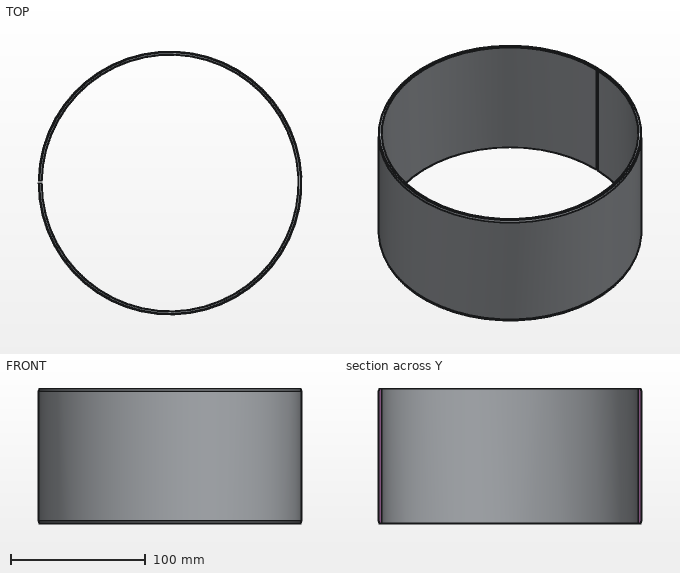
import cadquery as cq

outer_diameter = 195.0
height = 100.0
wall = 2.5
rim_chamfer_height = 2.0
rim_chamfer_depth = 0.66
inner_chamfer = 0.3
slit_angle = 1.0

outer_radius = outer_diameter / 2
inner_radius = outer_radius - wall
bore_rim_radius = inner_radius + inner_chamfer
rim_radius = outer_radius - rim_chamfer_depth
sweep_angle = 360 - slit_angle


def make_split_sleeve():
    """Thin sleeve with bevelled rims, split by a narrow slit beside the -X axis."""
    wall_section = [
        (-inner_radius, inner_chamfer),
        (-bore_rim_radius, 0),
        (-rim_radius, 0),
        (-outer_radius, rim_chamfer_height),
        (-outer_radius, height - rim_chamfer_height),
        (-rim_radius, height),
        (-bore_rim_radius, height),
        (-inner_radius, height - inner_chamfer),
    ]
    return (
        cq.Workplane("XZ")
        .polyline(wall_section)
        .close()
        .revolve(sweep_angle, (0, 0), (0, 1))
    )


result = make_split_sleeve()